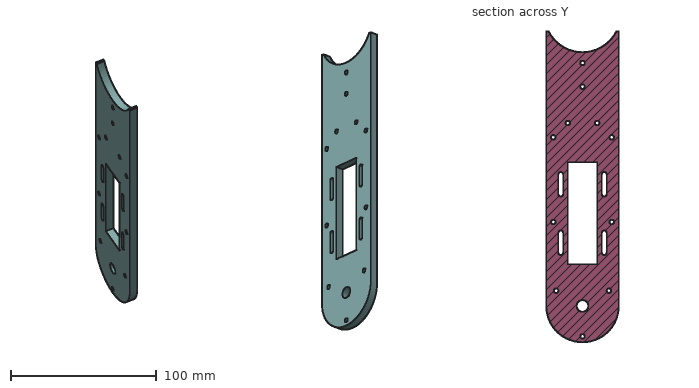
import cadquery as cq
import math

height = 213.6
width = 50.0
thickness = 6.0
end_radius = width / 2

scoop_half_chord = 23.3
scoop_depth = 14.3

small_hole_diameter = 3.0
pivot_diameter = 8.0
ring_radius = 21.0
ring_count = 3
ring_start_angle = -90.0

centre_hole_heights = [191.8, 175.5]
inner_pair_x = 10.0
inner_pair_height = 150.6
outer_pair_x = 2 * inner_pair_x
outer_pair_heights = [140.8, 82.7]

window_width = 20.0
window_height = 69.9
window_centre_height = 88.7
slot_width = 3.2
slot_length = 16.7
slot_x = 15.0
slot_heights = [108.5, 68.4]


def mirrored_pairs(x, heights):
    """Points at +x and -x for every height."""
    return [(side * x, z) for z in heights for side in (-1, 1)]


def ring_points():
    """Equally spaced points around the pivot hole."""
    angles = [math.radians(ring_start_angle + i * 360 / ring_count) for i in range(ring_count)]
    return [(ring_radius * math.cos(a), end_radius + ring_radius * math.sin(a)) for a in angles]


def make_plate():
    """Plate with a semicircular bottom end and a scooped top edge."""
    return (
        cq.Workplane("XZ")
        .moveTo(-end_radius, end_radius)
        .threePointArc((0, 0), (end_radius, end_radius))
        .lineTo(end_radius, height)
        .lineTo(scoop_half_chord, height)
        .threePointArc((0, height - scoop_depth), (-scoop_half_chord, height))
        .lineTo(-end_radius, height)
        .close()
        .extrude(-thickness)
    )


def cutting_sketch(points):
    """Workplane on the front face with the given points selected."""
    return cq.Workplane("XZ").pushPoints(points)


small_hole_points = (
    [(0, z) for z in centre_hole_heights]
    + mirrored_pairs(inner_pair_x, [inner_pair_height])
    + mirrored_pairs(outer_pair_x, outer_pair_heights)
    + ring_points()
)
slot_points = mirrored_pairs(slot_x, slot_heights)

small_holes = cutting_sketch(small_hole_points).circle(small_hole_diameter / 2).extrude(-thickness)
pivot_hole = cutting_sketch([(0, end_radius)]).circle(pivot_diameter / 2).extrude(-thickness)
window = cutting_sketch([(0, window_centre_height)]).rect(window_width, window_height).extrude(-thickness)
slots = cutting_sketch(slot_points).slot2D(slot_length, slot_width, 90).extrude(-thickness)

result = make_plate().cut(small_holes).cut(pivot_hole).cut(window).cut(slots)